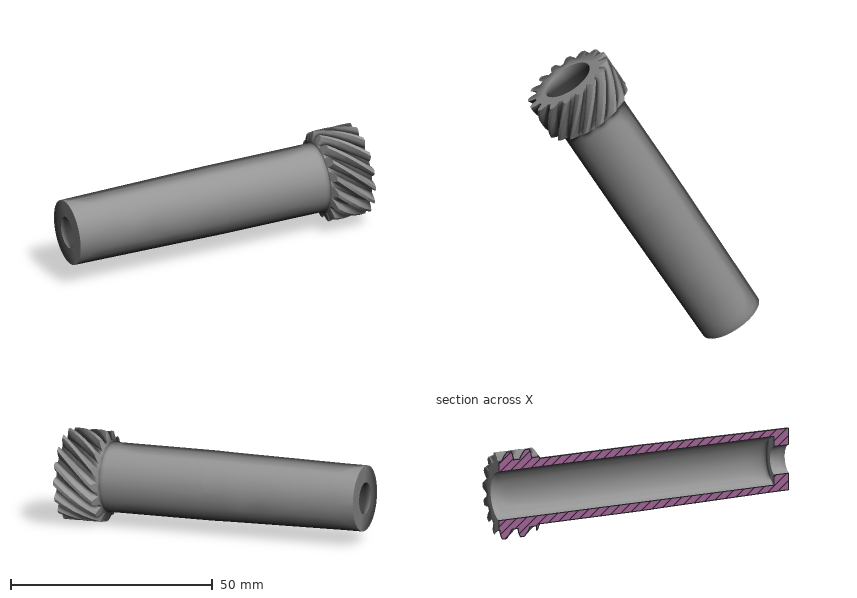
import cadquery as cq
import math

total_length = 78.6
gear_end = total_length / 2
tip_end = -total_length / 2
shaft_diameter = 17.45
tip_diameter = 16.5
taper_length = 40.0

tip_hole_diameter = 8.0
tip_hole_depth = 4.0
main_bore_diameter = 13.0

tooth_count = 16
outer_diameter = 22.9
dedendum_ratio = 1.25
helix_angle = math.radians(40)
normal_pressure_angle = math.radians(20)
gear_width = 11.2
first_tooth_angle = math.radians(1)

pitch_modules = tooth_count / math.cos(helix_angle)
normal_module = outer_diameter / (pitch_modules + 2)
pitch_radius = pitch_modules * normal_module / 2
outer_radius = outer_diameter / 2
root_radius = pitch_radius - dedendum_ratio * normal_module
pressure_angle = math.atan(math.tan(normal_pressure_angle) / math.cos(helix_angle))
base_radius = pitch_radius * math.cos(pressure_angle)
tooth_pitch = 2 * math.pi / tooth_count
gear_twist = gear_width * math.tan(helix_angle) / pitch_radius

bevel_width = 1.2


def polar(radius, angle):
    return (radius * math.cos(angle), radius * math.sin(angle))


def involute(angle):
    return math.tan(angle) - angle


def half_tooth_angle(radius):
    """Half the angle one tooth spans between its involute flanks at a radius."""
    half_at_pitch = tooth_pitch / 4
    return half_at_pitch + involute(pressure_angle) - involute(math.acos(base_radius / radius))


def gear_outline():
    """Closed outline of the toothed ring: radial feet, involute flanks, arcs at tips and roots."""
    flank_radii = [base_radius, pitch_radius, outer_radius]
    foot_angle = half_tooth_angle(base_radius)
    start_angle = first_tooth_angle - foot_angle
    outline = cq.Workplane("XZ", origin=(0, gear_end, 0)).moveTo(*polar(root_radius, start_angle))
    for tooth in range(tooth_count):
        middle = first_tooth_angle + tooth * tooth_pitch
        rising = [polar(r, middle - half_tooth_angle(r)) for r in flank_radii]
        falling = [polar(r, middle + half_tooth_angle(r)) for r in reversed(flank_radii)]
        outline = (
            outline.lineTo(*rising[0])
            .threePointArc(*rising[1:])
            .threePointArc(polar(outer_radius, middle), falling[0])
            .threePointArc(*falling[1:])
            .lineTo(*polar(root_radius, middle + foot_angle))
            .threePointArc(
                polar(root_radius, middle + tooth_pitch / 2),
                polar(root_radius, middle + tooth_pitch - foot_angle),
            )
        )
    return outline.close()


def helical_gear():
    teeth = gear_outline().twistExtrude(gear_width, math.degrees(gear_twist))
    inner_end = gear_end - gear_width
    shaft_radius = shaft_diameter / 2
    bevel_slope = (outer_radius - shaft_radius) / bevel_width
    cone_radius = shaft_radius + bevel_slope * gear_width
    cone = (
        cq.Workplane("XY")
        .moveTo(0, inner_end)
        .lineTo(shaft_radius, inner_end)
        .lineTo(cone_radius, gear_end)
        .lineTo(0, gear_end)
        .close()
        .revolve(360, (0, 0, 0), (0, 1, 0))
    )
    return teeth.intersect(cone)


def shaft():
    """Straight shaft, starting inside the gear, with a tapered stretch towards the tip."""
    taper_start = tip_end + taper_length
    return (
        cq.Workplane("XY")
        .moveTo(0, gear_end)
        .lineTo(shaft_diameter / 2, gear_end)
        .lineTo(shaft_diameter / 2, taper_start)
        .lineTo(tip_diameter / 2, tip_end)
        .lineTo(0, tip_end)
        .close()
        .revolve(360, (0, 0, 0), (0, 1, 0))
    )


def bore():
    gear_face = cq.Workplane("XZ", origin=(0, gear_end, 0))
    main_bore = gear_face.circle(main_bore_diameter / 2).extrude(total_length - tip_hole_depth)
    tip_hole = gear_face.circle(tip_hole_diameter / 2).extrude(total_length)
    return main_bore.union(tip_hole)


result = shaft().union(helical_gear()).cut(bore())